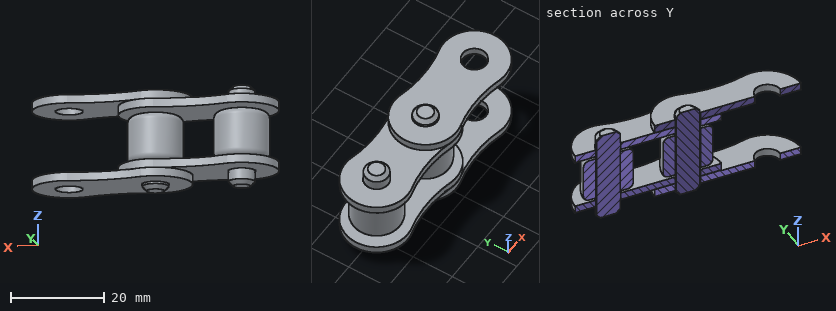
import cadquery as cq
import math

length = 54.05
plate_width = 16.0
waist_width = 13.55
waist_start = 1.35
plate_thickness = 1.9
inner_gap = 11.45
pin_diameter = 5.75
pin_length = 21.9
pin_chamfer = 0.95
hole_diameter = 5.9
roller_diameter = 12.05
roller_height = 10.6
roller_fillet = 1.45

end_radius = plate_width / 2
pitch = (length - plate_width) / 2
first_pin_x = -pitch
pin_positions = [first_pin_x, first_pin_x + pitch]
inner_plate_base = inner_gap / 2
outer_plate_base = inner_plate_base + plate_thickness


def make_plate(start_x, base_z):
    """Waisted link plate with its first hole at start_x and its lower face at base_z."""
    join_x = pitch / 2 - waist_start
    join_y = math.sqrt(end_radius**2 - waist_start**2)
    tip_x = pitch / 2 + end_radius
    waist_y = waist_width / 2
    return (
        cq.Workplane("XY", origin=(start_x + pitch / 2, 0, base_z))
        .moveTo(-join_x, join_y)
        .threePointArc((0, waist_y), (join_x, join_y))
        .threePointArc((tip_x, 0), (join_x, -join_y))
        .threePointArc((0, -waist_y), (-join_x, -join_y))
        .threePointArc((-tip_x, 0), (-join_x, join_y))
        .close()
        .extrude(plate_thickness)
        .faces(">Z")
        .workplane(origin=(start_x + pitch / 2, 0, base_z + plate_thickness))
        .pushPoints([(-pitch / 2, 0), (pitch / 2, 0)])
        .hole(hole_diameter)
    )


def make_plate_pair(start_x, base_z):
    """Two equal plates mirrored about Z = 0; base_z is the inward face of the upper one."""
    return [
        make_plate(start_x, lower_face).val()
        for lower_face in (base_z, -base_z - plate_thickness)
    ]


def make_pin(x):
    """Pin along Z with both ends chamfered."""
    return (
        cq.Workplane("XY", origin=(x, 0, -pin_length / 2))
        .circle(pin_diameter / 2)
        .extrude(pin_length)
        .faces("<Z or >Z")
        .edges()
        .chamfer(pin_chamfer)
    )


def make_roller(x):
    """Roller with rounded outer rims, bored through for the pin."""
    return (
        cq.Workplane("XY", origin=(x, 0, -roller_height / 2))
        .circle(roller_diameter / 2)
        .extrude(roller_height)
        .faces("<Z or >Z")
        .edges()
        .fillet(roller_fillet)
        .faces(">Z")
        .workplane(origin=(x, 0, roller_height / 2))
        .hole(hole_diameter)
    )


inner_plates = make_plate_pair(first_pin_x, inner_plate_base)
outer_plates = make_plate_pair(first_pin_x + pitch, outer_plate_base)
pins = [make_pin(x).val() for x in pin_positions]
rollers = [make_roller(x).val() for x in pin_positions]

result = cq.Compound.makeCompound([*inner_plates, *outer_plates, *pins, *rollers])